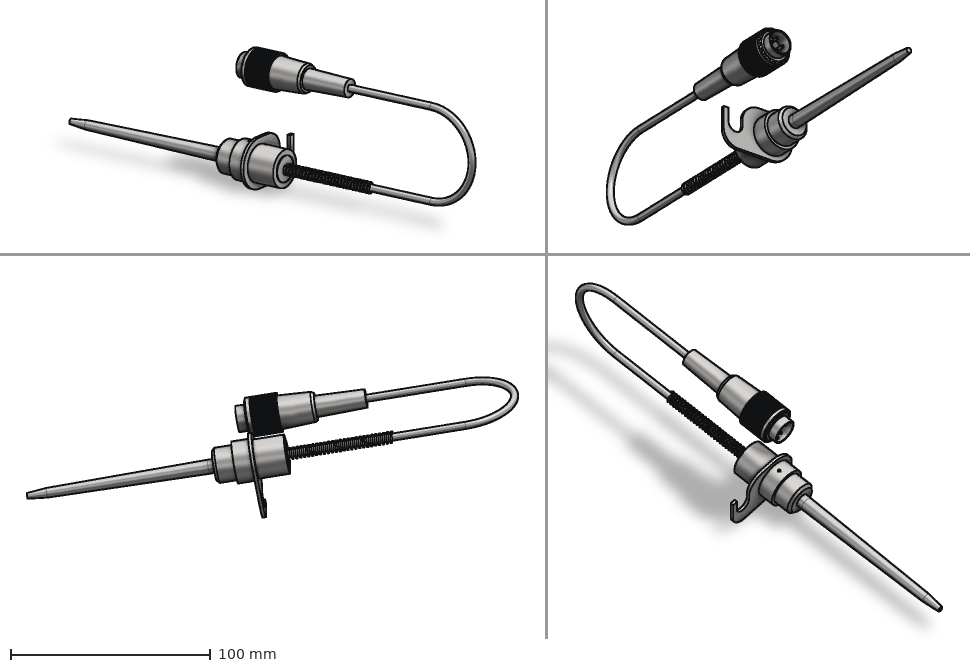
import cadquery as cq
import math

CABLE_DIA = 3.7
BEND_RADIUS = 25.0
TOTAL_LENGTH = 249.7
PLUG_Z = 2 * BEND_RADIUS
BEND_X = TOTAL_LENGTH - BEND_RADIUS - CABLE_DIA / 2

TIP_DIA = 3.0
TIP_END_DIA = 5.0
TIP_LENGTH = 10.0
SHAFT_DIA = 7.2
SHAFT_END_X = 92.1

HOUSING_X = 95.1
NOSE_CHAMFER = 1.5
NOSE_DIA = 18.0
FLANGE_X = 105.5
FLANGE_DIA = 21.5
FLANGE_HOLE_DIA = 1.5
FLANGE_HOLE_DEPTH = 1.7
FLANGE_HOLE_X = 110.5
PLATE_X = 114.5
PLATE_THICKNESS = 1.7
REAR_DIA = 20.0
REAR_END_X = 132.0
CAP_DIA = 14.0
CAP_LENGTH = 0.5
PLATE_BORE_DIA = 18.0

PLATE_RADIUS = 13.5
HOOK_Y = 29.5
HOOK_TOP_Z = 7.7
HOOK_CORNER_RADIUS = 8.7
SLOT_RADIUS = 4.37
FINGER_WIDTH = 3.0
SHOULDER_RADIUS = 10.0

SPRING_DIA = 6.0
SPRING_WIRE_DIA = 1.0
SPRING_PITCH = 2.0
SPRING_LENGTH = 53.7

SHELL_X = 106.9
SHELL_DIA = 13.5
SHELL_BORE_DIA = 12.0
SHELL_BORE_DEPTH = 7.5
PIN_DIA = 1.5
PIN_CIRCLE_RADIUS = 3.5
PIN_LENGTH = 5.0
PIN_COUNT = 4
KEY_WIDTH = 1.5
KEY_HEIGHT = 1.5

RING_X = 111.5
RING_DIA = 20.0
RING_END_X = 128.3
BEVEL_HEIGHT = 1.7
BEVEL_LENGTH = 0.7
SERRATION_COUNT = 18
KNURL_X = 114.5
KNURL_COUNT = 72
KNURL_DEPTH = 0.5

BOOT_DIA = 17.2
BOOT_SHOULDER_X = 145.3
BOOT_SHOULDER_DIA = 15.5
BOOT_STEP_X = 146.8
BOOT_STEP_DIA = 14.0
SLEEVE_DIA = 11.0
SLEEVE_END_DIA = 9.5
BOOT_END_X = 172.3


def turned(stations, axis_z=0.0):
    """Solid of revolution about an X-direction axis through (x, diameter) stations."""
    outline = [(stations[0][0], 0)]
    outline += [(x, diameter / 2) for x, diameter in stations]
    outline += [(stations[-1][0], 0)]
    solid = cq.Workplane("XY").polyline(outline).close().revolve(360, (0, 0, 0), (1, 0, 0))
    return solid.translate((0, 0, axis_z))


def rod(x, length, diameter, y=0.0, z=0.0):
    """Plain cylinder along +X starting at x."""
    return cq.Workplane("YZ", origin=(x, y, z)).circle(diameter / 2).extrude(length)


def make_probe():
    """Slim tapered shaft with a steeper tip."""
    return turned([
        (0, TIP_DIA),
        (TIP_LENGTH, TIP_END_DIA),
        (SHAFT_END_X, SHAFT_DIA),
        (HOUSING_X, SHAFT_DIA),
    ])


def make_housing():
    """Stepped round body with a neck for the hook plate and a small hole in its flange."""
    plate_end_x = PLATE_X + PLATE_THICKNESS
    housing = turned([
        (HOUSING_X, NOSE_DIA - 2 * NOSE_CHAMFER),
        (HOUSING_X + NOSE_CHAMFER, NOSE_DIA),
        (FLANGE_X, NOSE_DIA),
        (FLANGE_X, FLANGE_DIA),
        (PLATE_X, FLANGE_DIA),
        (PLATE_X, PLATE_BORE_DIA),
        (plate_end_x, PLATE_BORE_DIA),
        (plate_end_x, REAR_DIA),
        (REAR_END_X, REAR_DIA),
        (REAR_END_X, CAP_DIA),
        (REAR_END_X + CAP_LENGTH, CAP_DIA),
    ])
    hole = (
        cq.Workplane("XY", origin=(FLANGE_HOLE_X, 0, FLANGE_DIA / 2 - FLANGE_HOLE_DEPTH))
        .circle(FLANGE_HOLE_DIA / 2)
        .extrude(FLANGE_HOLE_DEPTH)
    )
    return housing.cut(hole)


def make_hook_plate():
    """Flat plate around the housing neck, ending in an upright hook finger."""
    slot_outer_y = HOOK_Y - FINGER_WIDTH
    slot_center_y = slot_outer_y - SLOT_RADIUS
    slot_inner_y = slot_center_y - SLOT_RADIUS
    shoulder_y = slot_inner_y - SHOULDER_RADIUS
    shoulder_z = PLATE_RADIUS - SHOULDER_RADIUS
    corner_y = HOOK_Y - HOOK_CORNER_RADIUS
    corner_z = HOOK_CORNER_RADIUS - PLATE_RADIUS
    diagonal = math.sqrt(0.5)
    plate = (
        cq.Workplane("YZ", origin=(PLATE_X, 0, 0))
        .moveTo(0, -PLATE_RADIUS)
        .lineTo(corner_y, -PLATE_RADIUS)
        .threePointArc(
            (corner_y + HOOK_CORNER_RADIUS * diagonal, corner_z - HOOK_CORNER_RADIUS * diagonal),
            (HOOK_Y, corner_z),
        )
        .lineTo(HOOK_Y, HOOK_TOP_Z)
        .lineTo(slot_outer_y, HOOK_TOP_Z)
        .lineTo(slot_outer_y, 0)
        .threePointArc((slot_center_y, -SLOT_RADIUS), (slot_inner_y, 0))
        .lineTo(slot_inner_y, shoulder_z)
        .threePointArc(
            (shoulder_y + SHOULDER_RADIUS * diagonal, shoulder_z + SHOULDER_RADIUS * diagonal),
            (shoulder_y, PLATE_RADIUS),
        )
        .lineTo(0, PLATE_RADIUS)
        .threePointArc((-PLATE_RADIUS, 0), (0, -PLATE_RADIUS))
        .close()
        .extrude(PLATE_THICKNESS)
    )
    return plate.cut(rod(PLATE_X, PLATE_THICKNESS, PLATE_BORE_DIA))


def make_spring():
    """Left-handed coil around the cable behind the housing."""
    coil_radius = (SPRING_DIA - SPRING_WIRE_DIA) / 2
    start_x = REAR_END_X + CAP_LENGTH + SPRING_WIRE_DIA / 2
    path = cq.Wire.makeHelix(SPRING_PITCH, SPRING_LENGTH - SPRING_WIRE_DIA, coil_radius, lefthand=True)
    spring = (
        cq.Workplane("XZ", origin=(coil_radius, 0, 0))
        .circle(SPRING_WIRE_DIA / 2)
        .sweep(cq.Workplane(path), isFrenet=True)
    )
    return spring.rotate((0, 0, 0), (0, 1, 0), 90).translate((start_x, 0, 0))


def make_cable():
    """Round cable from the housing, around a half-turn bend, to the boot."""
    start_x = REAR_END_X + CAP_LENGTH
    path = (
        cq.Workplane("XZ")
        .moveTo(start_x, 0)
        .lineTo(BEND_X, 0)
        .threePointArc((BEND_X + BEND_RADIUS, BEND_RADIUS), (BEND_X, PLUG_Z))
        .lineTo(BOOT_END_X, PLUG_Z)
    )
    return cq.Workplane("YZ", origin=(start_x, 0, 0)).circle(CABLE_DIA / 2).sweep(path)


def make_plug():
    """Connector shell with a keyed bore and pins standing on the bore floor."""
    plug = rod(SHELL_X, RING_END_X - SHELL_X, SHELL_DIA, z=PLUG_Z)
    key_inner_y = SHELL_BORE_DIA / 2 - KEY_HEIGHT
    key = (
        cq.Workplane("XY")
        .box(SHELL_BORE_DEPTH, SHELL_DIA, KEY_WIDTH, centered=(False, False, True))
        .translate((SHELL_X, key_inner_y, PLUG_Z))
    )
    keyed_bore = rod(SHELL_X, SHELL_BORE_DEPTH, SHELL_BORE_DIA, z=PLUG_Z).cut(key)
    plug = plug.cut(keyed_bore)

    pin_x = SHELL_X + SHELL_BORE_DEPTH - PIN_LENGTH
    for number in range(PIN_COUNT):
        angle = 2 * math.pi * number / PIN_COUNT
        y = PIN_CIRCLE_RADIUS * math.cos(angle)
        z = PLUG_Z + PIN_CIRCLE_RADIUS * math.sin(angle)
        plug = plug.union(rod(pin_x, PIN_LENGTH, PIN_DIA, y, z))
    return plug


def groove_circle(start_x, end_x, count, depth):
    """V grooves along X, evenly spaced around the rim of the ring."""
    root = RING_DIA / 2 - depth
    half_angle = math.pi / count
    rim = RING_DIA / 2 / math.cos(half_angle)
    groove = (
        cq.Workplane("YZ", origin=(start_x, 0, PLUG_Z))
        .moveTo(0, root)
        .lineTo(rim * math.sin(half_angle), rim * math.cos(half_angle))
        .lineTo(-rim * math.sin(half_angle), rim * math.cos(half_angle))
        .close()
        .extrude(end_x - start_x)
        .val()
    )
    grooves = [
        groove.rotate((0, 0, PLUG_Z), (1, 0, PLUG_Z), 360 * number / count)
        for number in range(count)
    ]
    return cq.Workplane(cq.Compound.makeCompound(grooves))


def make_ring():
    """Coupling ring with a serrated front bevel and a knurled grip."""
    ring = turned([
        (RING_X, RING_DIA - 2 * BEVEL_HEIGHT),
        (RING_X + BEVEL_LENGTH, RING_DIA),
        (RING_END_X, RING_DIA),
    ], PLUG_Z)
    bevel_end_x = RING_X + BEVEL_LENGTH
    ring = ring.cut(groove_circle(RING_X, bevel_end_x, SERRATION_COUNT, BEVEL_HEIGHT))
    ring = ring.cut(groove_circle(KNURL_X, RING_END_X, KNURL_COUNT, KNURL_DEPTH))
    return ring.cut(rod(RING_X, RING_END_X - RING_X, SHELL_DIA, z=PLUG_Z))


def make_boot():
    """Tapered strain relief behind the coupling ring."""
    return turned([
        (RING_END_X, BOOT_DIA),
        (BOOT_SHOULDER_X, BOOT_SHOULDER_DIA),
        (BOOT_STEP_X, BOOT_STEP_DIA),
        (BOOT_STEP_X, SLEEVE_DIA),
        (BOOT_END_X, SLEEVE_END_DIA),
    ], PLUG_Z)


probe = make_probe()
housing = make_housing()
hook_plate = make_hook_plate()
spring = make_spring()
cable = make_cable()
plug = make_plug()
ring = make_ring()
boot = make_boot()

bodies = [probe, housing, hook_plate, spring, cable, plug, ring, boot]
result = cq.Compound.makeCompound([body.solids().val() for body in bodies])